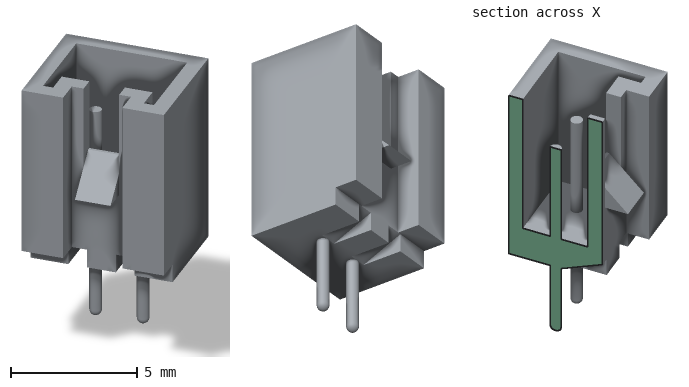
import cadquery as cq

width = 6.0
depth = 5.1
height = 8.0
side_wall = 0.66
back_wall = 0.63
floor_thickness = 1.5

channel_width = 2.5
channel_depth = 1.0
band_width = 3.83
band_back = 1.65
window_width = 1.5

latch_bottom = 3.5
latch_top = 5.01
latch_crest = 1.51

step_depth = 1.0
step_height = 0.8
relief_width = 0.8

pin_diameter = 0.5
pin_radius = pin_diameter / 2
pin_pitch = 2.0
pin_y = 3.05
overall_height = 11.2
pin_below = overall_height - height
pin_top = 6.0
pin_positions = [-pin_pitch / 2, pin_pitch / 2]


def block(size_x, y_front, y_back, z_bottom, z_top):
    """Box centred on X = 0, spanning the given Y and Z limits."""
    return (
        cq.Workplane("XY")
        .box(size_x, y_back - y_front, z_top - z_bottom, centered=(True, False, False))
        .translate((0, y_front, z_bottom))
    )


def make_housing():
    """Open-topped shell with the recessed front band and channel."""
    cavity = block(width - 2 * side_wall, side_wall, depth - back_wall, floor_thickness, height)
    cavity = cavity.cut(block(band_width, 0, band_back, 0, height))
    shell = block(width, 0, depth, 0, height).cut(cavity)
    shell = shell.cut(block(channel_width, 0, channel_depth, 0, height))
    shell = shell.cut(block(window_width, 0, band_back, latch_bottom, height))
    return shell.cut(block(width, 0, step_depth, 0, step_height))


def make_latch():
    """Ramp falling forward from the window sill to the housing front."""
    return (
        cq.Workplane("YZ")
        .polyline([
            (0, latch_bottom),
            (band_back, latch_bottom),
            (band_back, latch_top),
            (latch_crest, latch_top),
        ])
        .close()
        .extrude(window_width / 2, both=True)
    )


def make_relief(x):
    """Wedge-shaped relief under the front edge, running out at the pin."""
    return (
        cq.Workplane("YZ")
        .polyline([(step_depth, 0), (step_depth, step_height), (pin_y - pin_radius, 0)])
        .close()
        .extrude(relief_width / 2, both=True)
        .translate((x, 0, 0))
    )


def make_pin(x):
    """Round pin through the floor with a domed lower tip."""
    tip_centre_z = pin_radius - pin_below
    shaft = (
        cq.Workplane("XY", origin=(x, pin_y, tip_centre_z))
        .circle(pin_radius)
        .extrude(pin_top - tip_centre_z)
    )
    tip = cq.Workplane("XY").sphere(pin_radius).translate((x, pin_y, tip_centre_z))
    return shaft.union(tip)


result = make_housing().union(make_latch())
for pin_x in pin_positions:
    result = result.cut(make_relief(pin_x)).union(make_pin(pin_x))